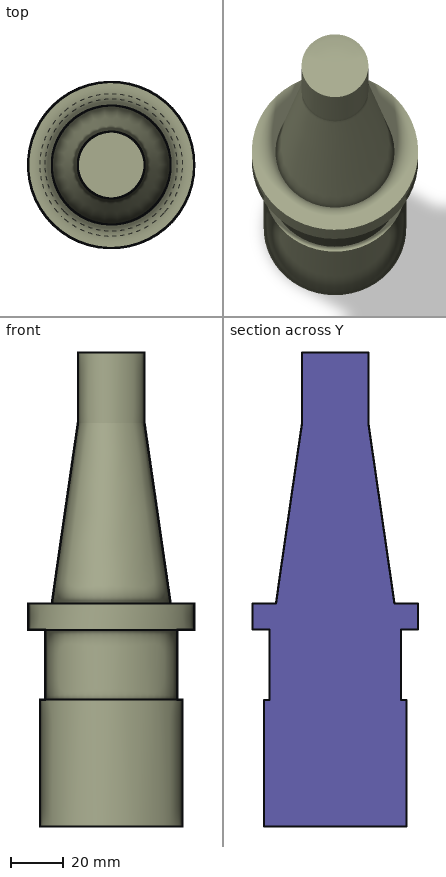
import cadquery as cq

body_diameter = 54.0
neck_diameter = 50.0
flange_diameter = 63.0
taper_base_diameter = 45.0
pilot_diameter = 25.3

total_length = 179.4
body_length = 48.0
neck_length = 26.4
flange_thickness = 10.0
pilot_length = 26.7
taper_length = total_length - body_length - neck_length - flange_thickness - pilot_length

sections = [
    (body_diameter, body_diameter, body_length),
    (neck_diameter, neck_diameter, neck_length),
    (flange_diameter, flange_diameter, flange_thickness),
    (taper_base_diameter, pilot_diameter, taper_length),
    (pilot_diameter, pilot_diameter, pilot_length),
]


def stepped_profile(sections):
    """Half outline in the XZ plane, climbing section by section from the axis."""
    points = [(0, 0)]
    height = 0
    for bottom_diameter, top_diameter, length in sections:
        points.append((bottom_diameter / 2, height))
        height += length
        points.append((top_diameter / 2, height))
    points.append((0, height))
    return points


profile = list(dict.fromkeys(stepped_profile(sections)))
result = cq.Workplane("XZ").polyline(profile).close().revolve(360, (0, 0), (0, 1))